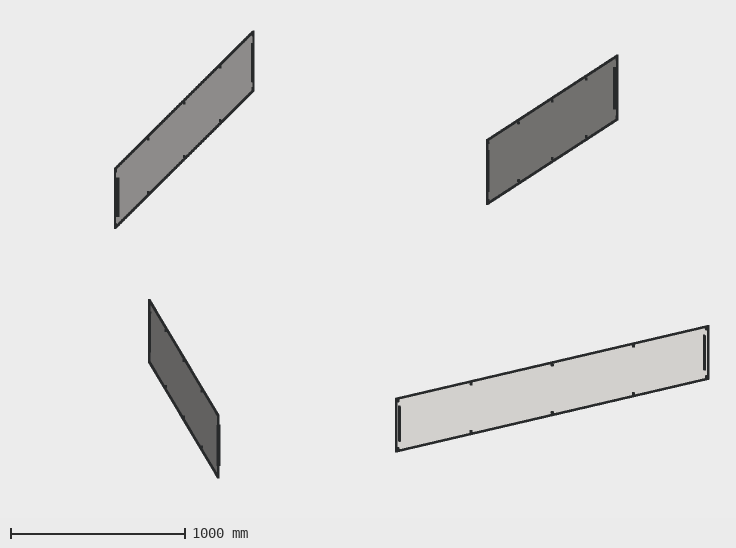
import cadquery as cq

depth = 12.0
length = 1917.0
height = 380.0

sheet = 2.0

tab_height = 240.0
tab_end_gap = 21.0

hole_diameter = 5.0
hole_pitch = 498.0
hole_end_gap = 10.0
hole_edge_gap = 17.0


def make_panel():
    return cq.Workplane("XY").box(sheet, length, height, centered=(False, True, True))


def make_tab(side):
    """Upright tab reaching the full depth; side is +1 or -1 along Y."""
    center_y = side * (length / 2 - tab_end_gap - sheet / 2)
    return (
        cq.Workplane("XY")
        .box(depth, sheet, tab_height, centered=(False, True, True))
        .translate((0, center_y, 0))
    )


def make_holes():
    end_y = length / 2 - hole_end_gap
    row_z = height / 2 - hole_edge_gap
    centers = [
        (y, z)
        for y in (-end_y, -hole_pitch, 0, hole_pitch, end_y)
        for z in (-row_z, row_z)
    ]
    return cq.Workplane("YZ").pushPoints(centers).circle(hole_diameter / 2).extrude(sheet)


result = make_panel().cut(make_holes())
for side in (-1, 1):
    result = result.union(make_tab(side))